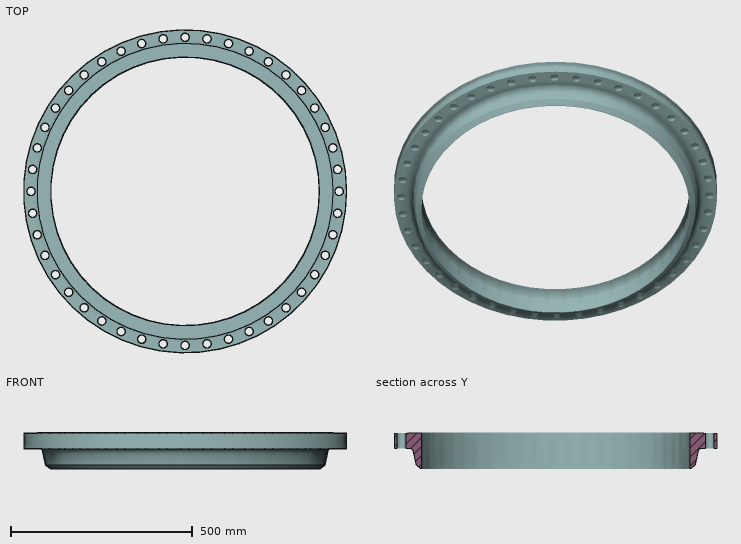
import cadquery as cq
import math


flange_diameter = 887.41
flange_thickness = 42.8625
raised_face_diameter = 812.8
raised_face_height = 1.5875
overall_height = 100.0125

bore_diameter = 736.6
hub_base_diameter = 787.4
hub_fillet_radius = 7.9375
hub_end_wall = 15.9
hub_end_diameter = bore_diameter + 2 * hub_end_wall

weld_land = 1.6
weld_bevel_angle = 37.5

bolt_count = 44
bolt_circle_diameter = 846.1375
bolt_hole_diameter = 22.225

flange_top = overall_height - raised_face_height
flange_underside = flange_top - flange_thickness
bevel_height = (hub_end_wall - weld_land) * math.tan(math.radians(weld_bevel_angle))


def flange_body():
    """Revolve the half section, given as (radius, height) points, about Z."""
    profile = [
        (bore_diameter / 2, 0),
        (bore_diameter / 2 + weld_land, 0),
        (hub_end_diameter / 2, bevel_height),
        (hub_base_diameter / 2, flange_underside),
        (flange_diameter / 2, flange_underside),
        (flange_diameter / 2, flange_top),
        (raised_face_diameter / 2, flange_top),
        (raised_face_diameter / 2, overall_height),
        (bore_diameter / 2, overall_height),
    ]
    section = cq.Workplane("XZ").polyline(profile).close()
    return section.revolve(360, (0, 0, 0), (0, 1, 0))


def fillet_hub(body):
    """Round the inside corner between the hub and the flange underside."""
    tolerance = 0.1
    reach = hub_base_diameter / 2 + tolerance
    corner = cq.selectors.BoxSelector(
        (-reach, -reach, flange_underside - tolerance),
        (reach, reach, flange_underside + tolerance),
        boundingbox=True,
    )
    return body.edges(corner).fillet(hub_fillet_radius)


def bolt_holes():
    """Cylinders on the bolt circle, one of them on the +X axis."""
    return (
        cq.Workplane("XY")
        .workplane(offset=flange_underside)
        .polarArray(bolt_circle_diameter / 2, 0, 360, bolt_count)
        .circle(bolt_hole_diameter / 2)
        .extrude(flange_thickness)
    )


result = fillet_hub(flange_body()).cut(bolt_holes())